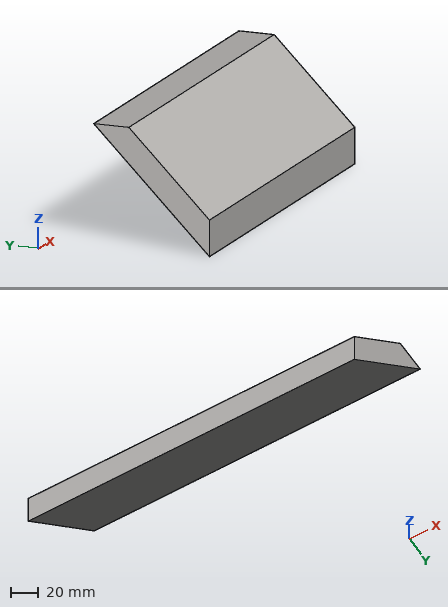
import cadquery as cq

length = 276.0
leg = 90.0
land = 27.3

section = [
    (0, 0),
    (leg, leg),
    (leg - land, leg),
    (0, land),
]

result = (
    cq.Workplane("YZ")
    .polyline(section)
    .close()
    .extrude(length / 2, both=True)
)